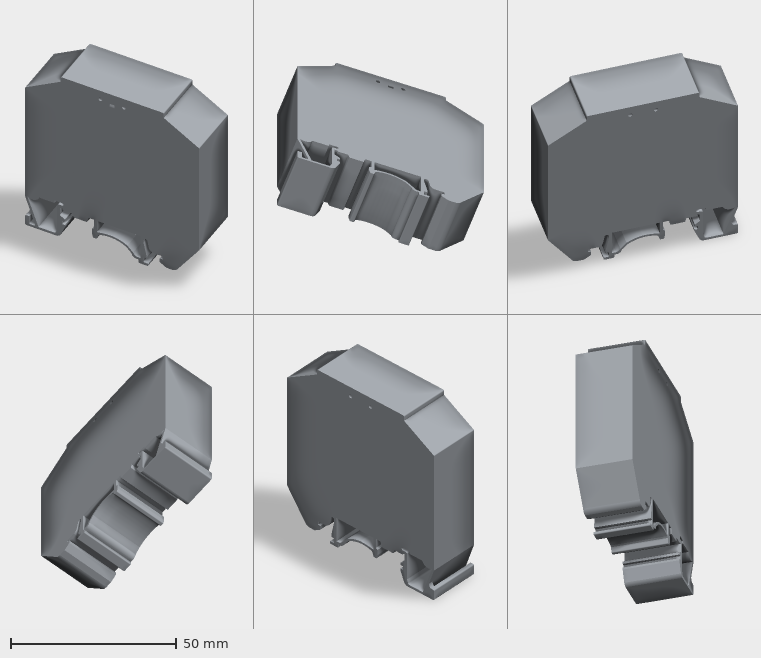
import cadquery as cq
import math

LENGTH = 60.0
WIDTH = 18.0
HEIGHT = 63.0
MID_X = LENGTH / 2

TOP_HALF_LENGTH = 17.75
TOP_STEP_Z = 61.1
SHOULDER_Z = 54.0
TOP_ROUND = 0.45
SHOULDER_ROUND = 0.3

LEFT_WALL_END_Z = 11.15
RIGHT_WALL_END_Z = 13.9
BODY_BOTTOM_Z = 11.4
ARM_SLOT_FLOOR_Z = 12.55
ARM_SLOT_TOP_Z = 13.55
PAD_Z = 9.5

FOOT_FLOOR = 0.9
LIP_THICKNESS = 1.4
LIP_HEIGHT = 3.85
LIP_ROUND = 0.45
ARM_ROOT_X = 0.75
ARM_FOOT_X = 4.6
POST_INNER_X = 11.0
POST_OUTER_X = 12.0

POCKET_END_X = 3.6
WEB_THICKNESS = 1.6
WEB_TOP_Z = 5.3
POCKET_ROUND = 0.4

LEFT_LEG_X = 23.75
LEFT_LEG_INNER_X = 24.7
RIGHT_LEG_INNER_X = 39.75
ARCH_TOP_X = 30.05
ARCH_TOP_Z = 7.5
STRIP_FOOT_Z = 1.95
STRIP_THICKNESS = 0.8
RIGHT_LEG_BOTTOM_Z = 0.6
RIGHT_LEG_BOTTOM_START_X = 39.05
RIGHT_LEG_BOTTOM_END_X = 42.4
LEFT_LEG_BOTTOM_Z = 4.3
LEFT_LEG_BOTTOM_START_X = 23.4
LEFT_LEG_BOTTOM_END_X = 24.65
LEG_ROUND = 0.3

PIN_HOLE_DIAMETER = 1.3
PIN_HOLE_SPACING = 8.05
PIN_HOLE_Z = 59.65
NOTCH_LENGTH = 1.75
NOTCH_HEIGHT = 1.25
NOTCH_BOTTOM_Z = 57.95


def extrude_profile(profile):
    """Extrude an XZ profile over the full width, from Y = 0 to Y = WIDTH."""
    return profile.extrude(-WIDTH)


def y_edges_near(body, points, radius):
    """Round the edges along Y that pass through the given (x, z) points."""
    tolerance = 0.03
    for x, z in points:
        corner = cq.selectors.BoxSelector(
            (x - tolerance, -0.6, z - tolerance),
            (x + tolerance, WIDTH + 0.6, z + tolerance),
        )
        body = body.edges(corner).edges("|Y").fillet(radius)
    return body


def arm_outer_x(z):
    """X of the outer face of the sloping arm at height z."""
    slope = POCKET_END_X / (LEFT_WALL_END_Z - FOOT_FLOOR)
    return slope * (LEFT_WALL_END_Z - z)


def outline():
    top_left = MID_X - TOP_HALF_LENGTH
    top_right = MID_X + TOP_HALF_LENGTH
    profile = (
        cq.Workplane("XZ")
        .moveTo(0, LEFT_WALL_END_Z)
        .lineTo(0, SHOULDER_Z)
        .lineTo(top_left, TOP_STEP_Z)
        .lineTo(top_left, HEIGHT)
        .lineTo(top_right, HEIGHT)
        .lineTo(top_right, TOP_STEP_Z)
        .lineTo(LENGTH, SHOULDER_Z)
        .lineTo(LENGTH, RIGHT_WALL_END_Z)
        .lineTo(52.7, 3.85)
        .threePointArc((52.0, 2.95), (50.9, 2.5))
        .lineTo(48.65, 2.5)
        .lineTo(46.35, 3.85)
        .lineTo(46.35, 5.3)
        .lineTo(47.3, 5.3)
        .lineTo(47.3, 6.5)
        .lineTo(44.3, 6.5)
        .threePointArc((43.2, 6.9), (42.65, 7.8))
        .lineTo(42.15, 10.35)
        .threePointArc((41.45, 10.95), (40.75, 10.35))
        .lineTo(40.75, 9.25)
        .lineTo(41.9, 4.05)
        .lineTo(41.9, 3.4)
        .lineTo(40.7, 3.4)
        .lineTo(40.7, 1.65)
        .lineTo(RIGHT_LEG_BOTTOM_END_X, 1.5)
        .lineTo(RIGHT_LEG_BOTTOM_END_X, RIGHT_LEG_BOTTOM_Z)
        .lineTo(RIGHT_LEG_BOTTOM_START_X, RIGHT_LEG_BOTTOM_Z)
        .lineTo(RIGHT_LEG_BOTTOM_START_X, STRIP_FOOT_Z)
        .lineTo(38.2, STRIP_FOOT_Z)
        .threePointArc((37.2, 2.4), (36.65, 3.4))
        .lineTo(34.85, 5.15)
        .threePointArc((30.55, ARCH_TOP_Z - STRIP_THICKNESS), (25.75, 6.25))
        .lineTo(25.2, 5.9)
        .lineTo(LEFT_LEG_BOTTOM_END_X, LEFT_LEG_BOTTOM_Z)
        .lineTo(LEFT_LEG_BOTTOM_START_X, LEFT_LEG_BOTTOM_Z)
        .lineTo(23.05, 5.75)
        .lineTo(23.05, 7.6)
        .lineTo(LEFT_LEG_X, 8.05)
        .lineTo(LEFT_LEG_X, BODY_BOTTOM_Z)
        .lineTo(21.8, BODY_BOTTOM_Z)
        .lineTo(21.3, PAD_Z)
        .lineTo(16.7, PAD_Z)
        .lineTo(16.3, 10.9)
        .lineTo(12.85, 10.9)
        .lineTo(12.85, BODY_BOTTOM_Z)
        .lineTo(POST_OUTER_X, BODY_BOTTOM_Z)
        .lineTo(POST_OUTER_X, 8.55)
        .lineTo(13.7, 7.45)
        .lineTo(13.7, 6.6)
        .lineTo(12.7, 6.6)
        .lineTo(12.7, 5.3)
        .lineTo(13.75, 5.3)
        .lineTo(13.75, 4.6)
        .lineTo(12.15, 0.8)
        .threePointArc((11.65, 0.3), (10.85, 0))
        .lineTo(0, 0)
        .lineTo(0, LIP_HEIGHT)
        .lineTo(LIP_THICKNESS, LIP_HEIGHT)
        .threePointArc((1.8, 4.35), (arm_outer_x(WEB_TOP_Z), WEB_TOP_Z))
        .close()
    )
    body = extrude_profile(profile)
    body = y_edges_near(body, [(top_left, HEIGHT), (top_right, HEIGHT)], TOP_ROUND)
    body = y_edges_near(body, [(0, SHOULDER_Z), (LENGTH, SHOULDER_Z)], SHOULDER_ROUND)
    body = y_edges_near(body, [(0, 0), (0, LIP_HEIGHT)], LIP_ROUND)
    leg_corners = [
        (LEFT_LEG_BOTTOM_START_X, LEFT_LEG_BOTTOM_Z),
        (LEFT_LEG_BOTTOM_END_X, LEFT_LEG_BOTTOM_Z),
        (RIGHT_LEG_BOTTOM_START_X, RIGHT_LEG_BOTTOM_Z),
        (RIGHT_LEG_BOTTOM_END_X, RIGHT_LEG_BOTTOM_Z),
    ]
    return y_edges_near(body, leg_corners, LEG_ROUND)


def foot_window():
    return extrude_profile(
        cq.Workplane("XZ")
        .moveTo(ARM_ROOT_X, BODY_BOTTOM_Z)
        .lineTo(ARM_FOOT_X, FOOT_FLOOR)
        .lineTo(10.0, FOOT_FLOOR)
        .threePointArc((10.4, 1.0), (10.65, 1.4))
        .lineTo(POST_INNER_X, 2.5)
        .lineTo(POST_INNER_X, 12.1)
        .threePointArc((11.2, 12.35), (11.6, ARM_SLOT_FLOOR_Z))
        .lineTo(12.7, ARM_SLOT_FLOOR_Z)
        .threePointArc((13.2, 13.05), (12.7, ARM_SLOT_TOP_Z))
        .lineTo(10.1, ARM_SLOT_TOP_Z)
        .lineTo(10.1, ARM_SLOT_FLOOR_Z)
        .lineTo(4.85, ARM_SLOT_FLOOR_Z)
        .threePointArc((2.9, 10.9), (1.25, 11.15))
        .close()
    )


def middle_window():
    return extrude_profile(
        cq.Workplane("XZ")
        .moveTo(LEFT_LEG_INNER_X, BODY_BOTTOM_Z)
        .lineTo(LEFT_LEG_INNER_X, 6.9)
        .threePointArc((27.35, ARCH_TOP_Z - 0.1), (ARCH_TOP_X, ARCH_TOP_Z))
        .threePointArc((32.75, 6.9), (35.2, 5.85))
        .lineTo(37.2, 3.9)
        .threePointArc((37.75, 3.2), (38.5, STRIP_FOOT_Z + STRIP_THICKNESS))
        .lineTo(RIGHT_LEG_INNER_X, STRIP_FOOT_Z + STRIP_THICKNESS)
        .lineTo(RIGHT_LEG_INNER_X, BODY_BOTTOM_Z)
        .close()
    )


def lip_pocket():
    """Pocket open at the top and at Y = 0; its outer wall follows the sloping arm."""
    pocket = (
        cq.Workplane("XZ")
        .moveTo(LIP_THICKNESS, FOOT_FLOOR)
        .lineTo(POCKET_END_X, FOOT_FLOOR)
        .lineTo(arm_outer_x(WEB_TOP_Z), WEB_TOP_Z)
        .lineTo(LIP_THICKNESS, WEB_TOP_Z)
        .close()
        .extrude(-(WIDTH - WEB_THICKNESS))
    )
    bottom_corners = [(LIP_THICKNESS, FOOT_FLOOR), (POCKET_END_X, FOOT_FLOOR)]
    return y_edges_near(pocket, bottom_corners, POCKET_ROUND)


def pin_holes():
    return extrude_profile(
        cq.Workplane("XZ")
        .pushPoints([(MID_X + side * PIN_HOLE_SPACING / 2, PIN_HOLE_Z) for side in (-1, 1)])
        .circle(PIN_HOLE_DIAMETER / 2)
    )


def notch():
    """Blind notch in the Y = 0 face whose floor is a convex quarter round."""
    top_z = NOTCH_BOTTOM_Z + NOTCH_HEIGHT
    mid_depth = NOTCH_HEIGHT * (1 - math.cos(math.pi / 4))
    mid_z = NOTCH_BOTTOM_Z + NOTCH_HEIGHT * math.sin(math.pi / 4)
    return (
        cq.Workplane("YZ", origin=(MID_X - NOTCH_LENGTH / 2, 0, 0))
        .moveTo(0, NOTCH_BOTTOM_Z)
        .threePointArc((mid_depth, mid_z), (NOTCH_HEIGHT, top_z))
        .lineTo(0, top_z)
        .close()
        .extrude(NOTCH_LENGTH)
    )


result = outline()
for cutter in (foot_window(), middle_window(), lip_pocket(), pin_holes(), notch()):
    result = result.cut(cutter)